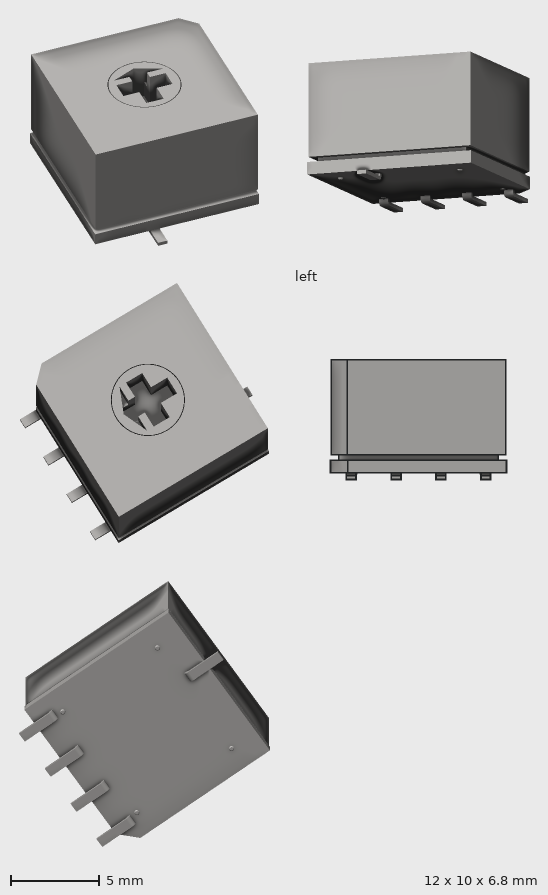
import cadquery as cq

TOTAL_LENGTH = 12.0
TOTAL_HEIGHT = 6.8

STANDOFF = 0.38
BASE_SIDE = 10.0
BASE_HEIGHT = 0.72
BASE_CHAMFER = 1.0
NECK_SIDE = 9.05
NECK_HEIGHT = 0.3
COVER_SIDE = 9.9
COVER_CHAMFER = BASE_CHAMFER - (BASE_SIDE - COVER_SIDE)
BASE_TOP = STANDOFF + BASE_HEIGHT
COVER_BOTTOM = BASE_TOP + NECK_HEIGHT
COVER_HEIGHT = TOTAL_HEIGHT - COVER_BOTTOM

WELL_DIAMETER = 4.2
ROTOR_DIAMETER = 4.1
ROTOR_HEIGHT = 2.5

SLOT_WIDTH = 1.07
SLOT_REACH_X = 1.61
SLOT_REACH_Y = 1.5
ARROW_BACK_X = -0.97
CROSS_DEPTH = 2.0
ARROW_DEPTH = 1.0

LEAD_PITCH = 2.55
LEAD_WIDTH = 0.56
LEAD_THICKNESS = 0.22
LEAD_INNER_RADIUS = 0.05
LEAD_OUTER_RADIUS = LEAD_INNER_RADIUS + LEAD_THICKNESS
LEAD_INNER_X = 3.7
LEFT_LEAD_ROWS = (-1.5, -0.5, 0.5, 1.5)
RIGHT_LEAD_ROWS = (-0.5,)

BUMP_X = 3.29
BUMP_Y = 3.65
BUMP_DIAMETER = 0.3
BUMP_HEIGHT = 0.1
BUMP_CHAMFER = 0.05


def square_block(side, height, bottom):
    """Square block centred on the Z axis, standing on the height `bottom`."""
    return cq.Workplane("XY").workplane(offset=bottom).rect(side, side).extrude(height)


def keyed_block(side, height, bottom, chamfer):
    """Square block with the -X, +Y vertical edge chamfered."""
    half = side / 2
    outline = [
        (-half, -half),
        (half, -half),
        (half, half),
        (-half + chamfer, half),
        (-half, half - chamfer),
    ]
    return cq.Workplane("XY").workplane(offset=bottom).polyline(outline).close().extrude(height)


def make_left_lead(y):
    """Gull-wing lead on the -X side, running from the base plate out to the tip."""
    tip_x = -TOTAL_LENGTH / 2
    outline = [
        (tip_x, 0),
        (-LEAD_INNER_X, 0),
        (-LEAD_INNER_X, STANDOFF),
        (-LEAD_INNER_X - LEAD_THICKNESS, STANDOFF),
        (-LEAD_INNER_X - LEAD_THICKNESS, LEAD_THICKNESS),
        (tip_x, LEAD_THICKNESS),
    ]
    lead = cq.Workplane("XZ").polyline(outline).close().extrude(LEAD_WIDTH / 2, both=True)
    lead = lead.edges("|Y and >X and <Z").fillet(LEAD_OUTER_RADIUS)
    inner_bend = cq.NearestToPointSelector((-LEAD_INNER_X - LEAD_THICKNESS, 0, LEAD_THICKNESS))
    lead = lead.edges(inner_bend).fillet(LEAD_INNER_RADIUS)
    return lead.translate((0, y, 0))


def make_right_lead(y):
    return make_left_lead(y).mirror("YZ")


def make_bump(x, y):
    """Small round bump with a chamfered lower rim."""
    bump = cq.Workplane("XY").workplane(offset=STANDOFF).circle(BUMP_DIAMETER / 2).extrude(-BUMP_HEIGHT)
    return bump.faces("<Z").chamfer(BUMP_CHAMFER).translate((x, y, 0))


def make_housing():
    """Base plate, neck, cover, leads and bumps as one solid, with the rotor well."""
    housing = keyed_block(BASE_SIDE, BASE_HEIGHT, STANDOFF, BASE_CHAMFER)
    housing = housing.union(square_block(NECK_SIDE, NECK_HEIGHT, BASE_TOP))
    housing = housing.union(keyed_block(COVER_SIDE, COVER_HEIGHT, COVER_BOTTOM, COVER_CHAMFER))
    for row in LEFT_LEAD_ROWS:
        housing = housing.union(make_left_lead(row * LEAD_PITCH))
    for row in RIGHT_LEAD_ROWS:
        housing = housing.union(make_right_lead(row * LEAD_PITCH))
    for x in (-BUMP_X, BUMP_X):
        for y in (-BUMP_Y, BUMP_Y):
            housing = housing.union(make_bump(x, y))
    top = cq.Workplane("XY").workplane(offset=TOTAL_HEIGHT)
    well = top.circle(WELL_DIAMETER / 2).extrude(-ROTOR_HEIGHT)
    return housing.cut(well)


def make_rotor():
    """Round rotor, flush with the cover, with a cross recess whose -X arm is an arrowhead."""
    top = cq.Workplane("XY").workplane(offset=TOTAL_HEIGHT)
    rotor = top.circle(ROTOR_DIAMETER / 2).extrude(-ROTOR_HEIGHT)

    arrow_outline = [
        (-SLOT_REACH_X, 0),
        (ARROW_BACK_X, -SLOT_REACH_Y),
        (ARROW_BACK_X, SLOT_REACH_Y),
    ]
    arrow = top.polyline(arrow_outline).close().extrude(-ARROW_DEPTH)

    half_width = SLOT_WIDTH / 2
    tip_slope = (SLOT_REACH_X + ARROW_BACK_X) / SLOT_REACH_Y
    shoulder_x = -SLOT_REACH_X + half_width * tip_slope
    arm_outline = [
        (-SLOT_REACH_X, 0),
        (shoulder_x, -half_width),
        (SLOT_REACH_X, -half_width),
        (SLOT_REACH_X, half_width),
        (shoulder_x, half_width),
    ]
    arm_x = top.polyline(arm_outline).close().extrude(-CROSS_DEPTH)
    arm_y = top.rect(SLOT_WIDTH, 2 * SLOT_REACH_Y).extrude(-CROSS_DEPTH)
    return rotor.cut(arrow).cut(arm_x).cut(arm_y)


housing = make_housing()
rotor = make_rotor()

result = cq.Compound.makeCompound([housing.val(), rotor.val()])